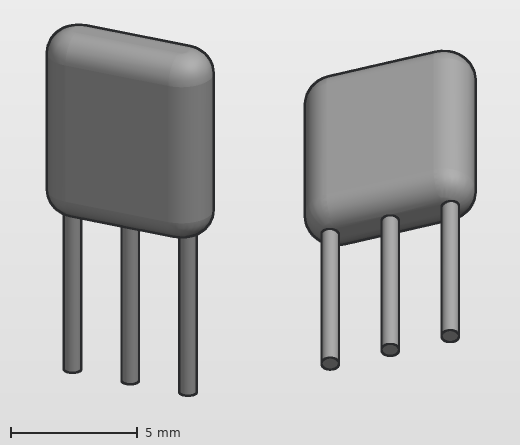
import cadquery as cq

body_width = 7.0
body_thickness = 2.54
body_height = 8.0
rim_radius = 1.0

lead_diameter = 0.7
lead_length = 7.0
lead_pitch = 2.5
lead_count = 3


def make_body():
    """Obround body standing on Z = 0, with both rims rounded."""
    return (
        cq.Workplane("XY")
        .slot2D(body_width, body_thickness)
        .extrude(body_height)
        .faces("<Z or >Z")
        .edges()
        .fillet(rim_radius)
    )


def make_leads():
    """Straight leads in a row along X, rooted inside the body above its rounded underside."""
    return (
        cq.Workplane("XY")
        .workplane(offset=-lead_length)
        .rarray(lead_pitch, lead_pitch, lead_count, 1)
        .circle(lead_diameter / 2)
        .extrude(lead_length + rim_radius)
    )


result = make_body().union(make_leads())